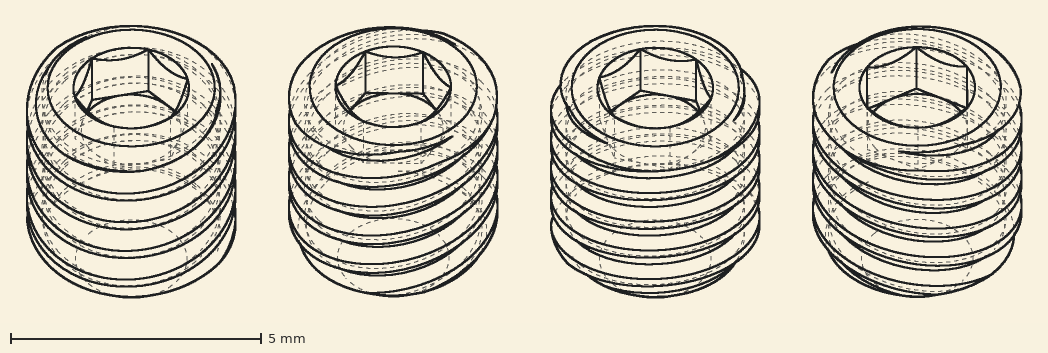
import cadquery as cq
import math

length = 4.76
crest_radius = 2.085

tip_radius = 1.115
tip_height = crest_radius - tip_radius
top_face_radius = 1.67
top_chamfer_height = 0.295

root_radius = 1.785
root_width = 0.2
flank_angle = 30.0
groove_pitch = 0.8
groove_tilt = 10.6
groove_count = 6
lowest_groove_z = 0.555
cutter_overrun = 0.285
cutter_radius = crest_radius + cutter_overrun

across_flats = 2.0
socket_depth = 1.155
entry_angle = 45.0
drill_point_angle = 120.0
flat_radius = across_flats / 2
half_corner_angle = 30.0
corner_radius = flat_radius / math.cos(math.radians(half_corner_angle))


def screw_blank():
    """Solid of revolution with a conical tip and a chamfered top."""
    half_section = [
        (0, 0),
        (tip_radius, 0),
        (crest_radius, tip_height),
        (crest_radius, length - top_chamfer_height),
        (top_face_radius, length),
        (0, length),
    ]
    return cq.Workplane("XZ").polyline(half_section).close().revolve(360, (0, 0), (0, 1))


def groove_cutter(center_z):
    """Ring with a 60 degree profile, tilted so that its +Y side is higher."""
    root_half = root_width / 2
    flank_rise = (cutter_radius - root_radius) * math.tan(math.radians(flank_angle))
    outer_half = root_half + flank_rise
    profile = [
        (root_radius, -root_half),
        (cutter_radius, -outer_half),
        (cutter_radius, outer_half),
        (root_radius, root_half),
    ]
    ring = cq.Workplane("XZ").polyline(profile).close().revolve(360, (0, 0), (0, 1))
    return ring.rotate((0, 0, 0), (1, 0, 0), groove_tilt).translate((0, 0, center_z))


def cone_cutter(base_radius, depth, base_z):
    """Cone pointing down from a base circle at base_z."""
    triangle = [(0, base_z), (base_radius, base_z), (0, base_z - depth)]
    return cq.Workplane("XZ").polyline(triangle).close().revolve(360, (0, 0), (0, 1))


def socket_cutter():
    """Hexagonal prism with a conical entry and a drill point below its floor."""
    floor_z = length - socket_depth
    hexagon = (
        cq.Workplane("XY", origin=(0, 0, floor_z))
        .polygon(6, 2 * corner_radius)
        .extrude(socket_depth)
        .rotate((0, 0, 0), (0, 0, 1), half_corner_angle)
    )
    entry_depth = corner_radius * math.tan(math.radians(entry_angle))
    drill_depth = flat_radius / math.tan(math.radians(drill_point_angle / 2))
    entry = cone_cutter(corner_radius, entry_depth, length)
    drill_point = cone_cutter(flat_radius, drill_depth, floor_z)
    return hexagon.union(entry).union(drill_point)


result = screw_blank()
for index in range(groove_count):
    result = result.cut(groove_cutter(lowest_groove_z + index * groove_pitch))
result = result.cut(socket_cutter())